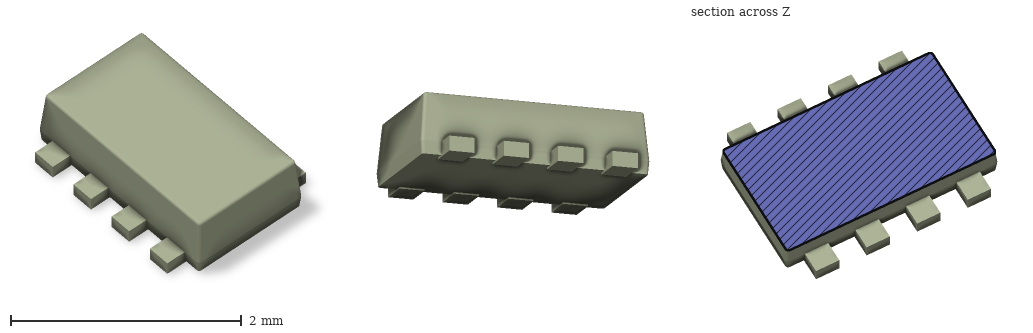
import cadquery as cq

body_length = 2.1
body_width = 1.2
body_bottom = 0.015
body_top = 0.584
draft_angle = 5.0
edge_radius = 0.03

lead_span = 1.6
lead_length = 0.3
lead_width = 0.23
lead_thickness = 0.135
lead_pitch = 0.5
leads_per_side = 4

parting_height = lead_thickness

mark_diameter = 0.18
mark_depth = 0.02
mark_x = -0.755
mark_y = -0.36


def body_half(height):
    """Drafted block from the parting plane, rounded at its corners; a negative height goes downward."""
    block = (
        cq.Workplane("XY")
        .workplane(offset=parting_height)
        .rect(body_length, body_width)
        .extrude(height, taper=draft_angle)
    )
    return block.edges("not #Z").fillet(edge_radius)


def make_body():
    """Both drafted halves, with the top edges rounded and the underside left sharp."""
    upper = body_half(body_top - parting_height)
    upper = upper.faces(">Z").edges().fillet(edge_radius)
    lower = body_half(body_bottom - parting_height)
    return upper.union(lower)


def make_leads():
    """All leads, resting on Z = 0 and reaching a little way under the body."""
    row_offset = (lead_span - lead_length) / 2
    first_x = -lead_pitch * (leads_per_side - 1) / 2
    centres = [
        (first_x + index * lead_pitch, side * row_offset)
        for side in (-1, 1)
        for index in range(leads_per_side)
    ]
    return (
        cq.Workplane("XY")
        .pushPoints(centres)
        .rect(lead_width, lead_length)
        .extrude(lead_thickness)
    )


def add_pin_one_mark(part):
    """Set a flush round inlay into the top, kept as a face of its own."""
    inlay = (
        cq.Workplane("XY")
        .workplane(offset=body_top - mark_depth)
        .center(mark_x, mark_y)
        .circle(mark_diameter / 2)
        .extrude(mark_depth)
    )
    return part.cut(inlay).union(inlay, clean=False)


result = add_pin_one_mark(make_body().union(make_leads()))